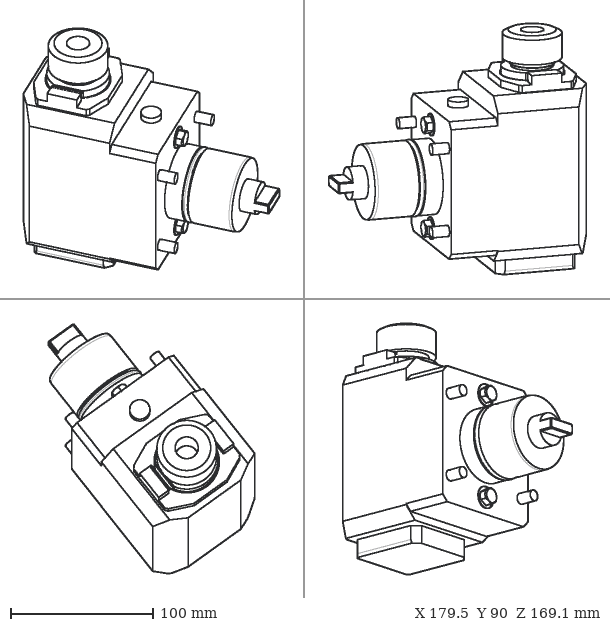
import cadquery as cq
import math


WIDTH = 90.0
HALF_WIDTH = WIDTH / 2
HEAD_LENGTH = 72.5
HEAD_TOP = 64.6
HEAD_BOTTOM = -55.5
FRONT_BEVEL_X = 12.5
FRONT_BEVEL_Y = FRONT_BEVEL_X * math.tan(math.radians(60))
HEAD_TOP_BEVEL = 10.5
HEAD_BOTTOM_BEVEL = 9.3
TOE_BEVEL_X = 5.7
TOE_BEVEL_Z = TOE_BEVEL_X * math.tan(math.radians(60))

REAR_FACE = 107.2
REAR_HALF_HEIGHT = 50.0
REAR_BEVEL = 4.7
BUTTON_X = 87.2
BUTTON_RADIUS = 7.2
BUTTON_HEIGHT = 4.3

FOOT_FRONT = 9.3
FOOT_BACK = 67.1
FOOT_HALF_WIDTH = 28.0
FOOT_BOTTOM = -68.4
FOOT_FRONT_BEVEL_X = 2.3
FOOT_FRONT_BEVEL_Y = 2.0
FOOT_BACK_BEVEL = 5.4
FOOT_LOWER_BEVEL_Z = 2.9
FOOT_LOWER_BEVEL_Y = 0.5

SPINDLE_X = 32.5
PLATE_TOP = 69.8
PLATE_HALF_LENGTH = 27.8
PLATE_HALF_WIDTH = 33.0
PLATE_SIDE_HALF = 14.5
PLATE_CORNER_X = 20.1
PLATE_CORNER_Y = 31.5
PLATE_END_HALF = 18.1
RECESS_RADIUS = 23.0
RECESS_DEPTH = 0.7
RECESS_FLOOR = PLATE_TOP - RECESS_DEPTH
KEY_HALF_LENGTH = 11.1
KEY_INNER_Y = 24.0
KEY_LIP_INNER_Y = 22.8
KEY_LIP_THICKNESS = 0.7
KEY_TOP = 76.5

FLANGE_RADIUS = 22.0
FLANGE_HALF_FLATS = 19.2
FLANGE_TOP = 74.9
NECK_RADIUS = 15.0
NECK_TOP = 76.8
NUT_COLLAR_RADIUS = 16.0
NUT_BOTTOM = 80.6
NUT_RADIUS = 21.0
NUT_TOP = 100.7
NUT_BEVEL_RADIAL = 4.1
NUT_BEVEL_HEIGHT = 2.2
BORE_RADIUS = 8.0

SHANK_RADIUS = 27.0
SHANK_END = 157.5
SHANK_BEVEL_LENGTH = 2.2
SHANK_BEVEL_RADIAL = 0.4
GROOVE_START = 120.0
GROOVE_END = 125.0
GROOVE_RADIUS = 23.9
RING_TUBE_RADIUS = 1.8
RING_OUTER_RADIUS = 27.3
SHAFT_RADIUS = 11.7
SHAFT_END = 168.7
TANG_END = 179.5
TANG_THICKNESS = 7.9
TANG_BEVEL = 0.7

PIN_RADIUS = 4.0
PIN_Y = 37.3
PIN_Z = 30.2
PIN_END = 119.5
LOCATOR_Z = 37.7
LOCATOR_RADIUS = 6.1
LOCATOR_END = 113.0
LOCATOR_BEVEL = 0.9
LOCATOR_FLAT_ANGLE = 31
LOCATOR_BASE_RADIUS = 7.9
LOCATOR_BASE_THICKNESS = 0.5


def z_cylinder(x, radius, bottom, top):
    """Upright cylinder centred on (x, 0)."""
    return cq.Workplane("XY", origin=(x, 0, bottom)).circle(radius).extrude(top - bottom)


def x_cylinder(y, z, radius, start, end):
    """Cylinder along X centred on (y, z)."""
    return cq.Workplane("YZ", origin=(start, y, z)).circle(radius).extrude(end - start)


def box_between(x_range, y_range, z_range):
    """Axis-aligned box from its limits along each axis."""
    sizes = [high - low for low, high in (x_range, y_range, z_range)]
    corner = (x_range[0], y_range[0], z_range[0])
    return cq.Workplane("XY").box(*sizes, centered=False).translate(corner)


def bevelled_section(half_width, bottom, top, bottom_bevel, top_bevel, start, end):
    """Bar along X whose four long edges are bevelled at 45 degrees."""
    half_section = [
        (half_width - bottom_bevel, bottom),
        (half_width, bottom + bottom_bevel),
        (half_width, top - top_bevel),
        (half_width - top_bevel, top),
    ]
    mirrored = [(-y, z) for y, z in reversed(half_section)]
    section = cq.Workplane("YZ", origin=(start, 0, 0)).polyline(half_section + mirrored).close()
    return section.extrude(end - start)


def y_symmetric_prism(half_outline, bottom, top):
    """Upright prism from the +Y half of an outline and its mirror image."""
    mirrored = [(x, -y) for x, y in reversed(half_outline)]
    outline = cq.Workplane("XY", origin=(0, 0, bottom)).polyline(half_outline + mirrored).close()
    return outline.extrude(top - bottom)


def make_head():
    bar = bevelled_section(
        HALF_WIDTH, HEAD_BOTTOM, HEAD_TOP, HEAD_BOTTOM_BEVEL, HEAD_TOP_BEVEL, 0, HEAD_LENGTH
    )
    front_bevels = y_symmetric_prism(
        [(0, HALF_WIDTH - FRONT_BEVEL_Y), (FRONT_BEVEL_X, HALF_WIDTH), (HEAD_LENGTH, HALF_WIDTH)],
        HEAD_BOTTOM,
        HEAD_TOP,
    )
    toe = (
        cq.Workplane("XZ")
        .polyline([(0, HEAD_BOTTOM), (TOE_BEVEL_X, HEAD_BOTTOM), (0, HEAD_BOTTOM + TOE_BEVEL_Z)])
        .close()
        .extrude(HALF_WIDTH, both=True)
    )
    return bar.intersect(front_bevels).cut(toe)


def make_rear_block():
    block = bevelled_section(
        HALF_WIDTH, -REAR_HALF_HEIGHT, REAR_HALF_HEIGHT, REAR_BEVEL, REAR_BEVEL, HEAD_LENGTH, REAR_FACE
    )
    button_top = REAR_HALF_HEIGHT + BUTTON_HEIGHT
    return block.union(z_cylinder(BUTTON_X, BUTTON_RADIUS, REAR_HALF_HEIGHT, button_top))


def make_foot():
    foot = y_symmetric_prism(
        [
            (FOOT_FRONT, FOOT_HALF_WIDTH - FOOT_FRONT_BEVEL_Y),
            (FOOT_FRONT + FOOT_FRONT_BEVEL_X, FOOT_HALF_WIDTH),
            (FOOT_BACK - FOOT_BACK_BEVEL, FOOT_HALF_WIDTH),
            (FOOT_BACK, FOOT_HALF_WIDTH - FOOT_BACK_BEVEL),
        ],
        FOOT_BOTTOM,
        HEAD_BOTTOM,
    )
    for side in (-1, 1):
        wedge = (
            cq.Workplane("YZ", origin=(FOOT_FRONT, 0, 0))
            .moveTo(side * FOOT_HALF_WIDTH, FOOT_BOTTOM)
            .lineTo(side * (FOOT_HALF_WIDTH - FOOT_LOWER_BEVEL_Y), FOOT_BOTTOM)
            .lineTo(side * FOOT_HALF_WIDTH, FOOT_BOTTOM + FOOT_LOWER_BEVEL_Z)
            .close()
            .extrude(FOOT_BACK - FOOT_FRONT)
        )
        foot = foot.cut(wedge)
    return foot


def make_spindle_plate():
    right_half = [
        (PLATE_END_HALF, PLATE_HALF_WIDTH),
        (PLATE_CORNER_X, PLATE_CORNER_Y),
        (PLATE_HALF_LENGTH, PLATE_SIDE_HALF),
    ]
    left_half = [(-x, y) for x, y in reversed(right_half)]
    plate = y_symmetric_prism(left_half + right_half, HEAD_TOP, PLATE_TOP)
    plate = plate.translate((SPINDLE_X, 0, 0))
    plate = plate.cut(z_cylinder(SPINDLE_X, RECESS_RADIUS, RECESS_FLOOR, PLATE_TOP))

    key_x = (SPINDLE_X - KEY_HALF_LENGTH, SPINDLE_X + KEY_HALF_LENGTH)
    key = box_between(key_x, (KEY_INNER_Y, PLATE_HALF_WIDTH), (HEAD_TOP, KEY_TOP))
    lip = box_between(
        key_x, (KEY_LIP_INNER_Y, PLATE_HALF_WIDTH), (KEY_TOP - KEY_LIP_THICKNESS, KEY_TOP)
    )
    key = key.union(lip)
    return plate.union(key).union(key.mirror("XZ"))


def make_spindle():
    flange = z_cylinder(SPINDLE_X, FLANGE_RADIUS, RECESS_FLOOR, FLANGE_TOP)
    flats = box_between(
        (SPINDLE_X - FLANGE_RADIUS, SPINDLE_X + FLANGE_RADIUS),
        (-FLANGE_HALF_FLATS, FLANGE_HALF_FLATS),
        (RECESS_FLOOR, FLANGE_TOP),
    )
    neck = z_cylinder(SPINDLE_X, NECK_RADIUS, FLANGE_TOP, NECK_TOP)
    collar = z_cylinder(SPINDLE_X, NUT_COLLAR_RADIUS, NECK_TOP, NUT_BOTTOM)
    nut = z_cylinder(SPINDLE_X, NUT_RADIUS, NUT_BOTTOM, NUT_TOP)
    nut = nut.faces(">Z").chamfer(NUT_BEVEL_HEIGHT, NUT_BEVEL_RADIAL)
    bore = z_cylinder(SPINDLE_X, BORE_RADIUS, NUT_BOTTOM, NUT_TOP)
    return flange.intersect(flats).union(neck).union(collar).union(nut.cut(bore))


def make_shank():
    profile = [
        (REAR_FACE, 0),
        (REAR_FACE, SHANK_RADIUS),
        (GROOVE_START, SHANK_RADIUS),
        (GROOVE_START, GROOVE_RADIUS),
        (GROOVE_END, GROOVE_RADIUS),
        (GROOVE_END, SHANK_RADIUS),
        (SHANK_END - SHANK_BEVEL_LENGTH, SHANK_RADIUS),
        (SHANK_END, SHANK_RADIUS - SHANK_BEVEL_RADIAL),
        (SHANK_END, SHAFT_RADIUS),
        (SHAFT_END, SHAFT_RADIUS),
        (SHAFT_END, 0),
    ]
    shank = cq.Workplane("XY").polyline(profile).close().revolve(360, (0, 0, 0), (1, 0, 0))
    ring = cq.Solid.makeTorus(
        RING_OUTER_RADIUS - RING_TUBE_RADIUS,
        RING_TUBE_RADIUS,
        cq.Vector(GROOVE_START + RING_TUBE_RADIUS, 0, 0),
        cq.Vector(1, 0, 0),
    )
    return shank.union(cq.Workplane(ring)).union(make_tang())


def make_tang():
    slab = box_between(
        (SHAFT_END, TANG_END),
        (-SHAFT_RADIUS, SHAFT_RADIUS),
        (-TANG_THICKNESS / 2, TANG_THICKNESS / 2),
    )
    tang = x_cylinder(0, 0, SHAFT_RADIUS, SHAFT_END, TANG_END).intersect(slab)
    return tang.faces("|Z or >X").edges("not <X").chamfer(TANG_BEVEL)


def make_pins():
    return (
        cq.Workplane("YZ", origin=(REAR_FACE, 0, 0))
        .rect(2 * PIN_Y, 2 * PIN_Z, forConstruction=True)
        .vertices()
        .circle(PIN_RADIUS)
        .extrude(PIN_END - REAR_FACE)
    )


def make_locator(z):
    """Diamond-shaped locating pin on a thin round base."""
    base_end = REAR_FACE + LOCATOR_BASE_THICKNESS
    base = x_cylinder(0, z, LOCATOR_BASE_RADIUS, REAR_FACE, base_end)
    pin = x_cylinder(0, z, LOCATOR_RADIUS, REAR_FACE, LOCATOR_END)
    pin = pin.faces(">X").chamfer(LOCATOR_BEVEL)
    diamond_half_width = LOCATOR_RADIUS / math.tan(math.radians(LOCATOR_FLAT_ANGLE))
    diamond = (
        cq.Workplane("YZ", origin=(REAR_FACE, 0, z))
        .polyline(
            [
                (diamond_half_width, 0),
                (0, LOCATOR_RADIUS),
                (-diamond_half_width, 0),
                (0, -LOCATOR_RADIUS),
            ]
        )
        .close()
        .extrude(LOCATOR_END - REAR_FACE)
    )
    return base.union(pin.intersect(diamond))


result = (
    make_head()
    .union(make_rear_block())
    .union(make_foot())
    .union(make_spindle_plate())
    .union(make_spindle())
    .union(make_shank())
    .union(make_pins())
    .union(make_locator(LOCATOR_Z))
    .union(make_locator(-LOCATOR_Z))
)